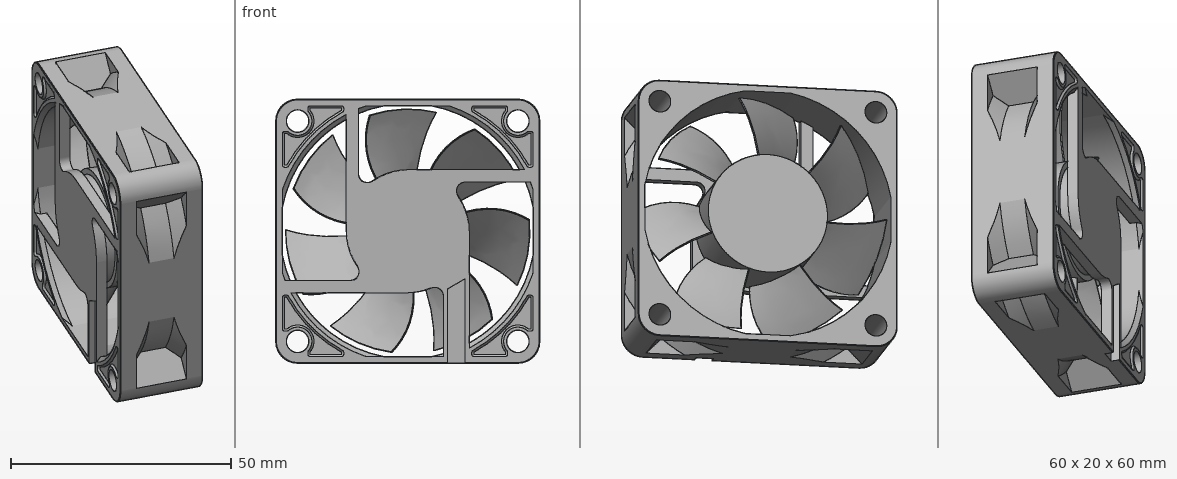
import cadquery as cq
import math

side = 60.0
half = side / 2
depth = 20.0
front = -depth / 2
back = depth / 2
corner_radius = 5.0
edge_break = 0.2

hole_offset = half - corner_radius
hole_radius = 2.5

bore_radius = 29.0
wall = 1.5
duct_half = half - wall
flare_radius = 30.0

shell_radius = 31.0
pocket_floor_half = 3.0
pocket_mouth_half = 6.0
web_width = corner_radius * math.sqrt(2)

recess_depth = 0.5
recess_bevel_margin = 0.005
recess_end = 14.5
recess_notch = 22.7
recess_boss_radius = 3.25
recess_arc_radius = 30.85
recess_rounding = 0.6

plate_radius = 14.0
plate_thickness = 2.5
arm_width = 2.8
cable_arm_width = 5.9
arm_length = 28.8
arm_fillet = 2.0
motor_base_radius = 12.5

channel_left = 9.0
channel_right = 13.0
channel_depth = 2.0
channel_top = -10.8
channel_slant = 30.0

hub_radius = 13.8
hub_gap = 5.0
hub_front = front + hub_gap
blade_count = 7
blade_root_radius = 12.6
blade_tip_radius = 27.8
blade_front = -3.95
blade_back = 9.0
blade_thickness = 0.35
blade_front_angle = 122.0
blade_twist = 39.3
front_edge_sweep = 13.7
back_edge_sweep = 5.8
sweep_power = 1.7
grid_steps = 8


def cylinder(radius, y_start, y_end):
    """Cylinder about the Y axis."""
    return cq.Workplane("XZ", origin=(0, y_start, 0)).circle(radius).extrude(y_start - y_end)


def box(x_range, y_range, z_range):
    """Box spanning the given (low, high) ranges."""
    (x0, x1), (y0, y1), (z0, z1) = x_range, y_range, z_range
    return cq.Workplane("XY").box(x1 - x0, y1 - y0, z1 - z0, centered=False).translate((x0, y0, z0))


def turn(shape, angle):
    """Turn a shape about the Y axis, counterclockwise as seen from the front."""
    return shape.rotate((0, 0, 0), (0, -1, 0), angle)


def frame_block():
    block = box((-half, half), (front, back), (-half, half))
    block = block.edges("|Y").fillet(corner_radius)
    block = block.faces("<Y or >Y").edges().chamfer(edge_break)
    holes = (
        cq.Workplane("XZ", origin=(0, front, 0))
        .rect(2 * hole_offset, 2 * hole_offset, forConstruction=True)
        .vertices()
        .circle(hole_radius)
        .extrude(-depth)
    )
    return block.cut(holes)


def air_duct():
    """Round bore with a 45-degree flare at the front, flattened on four sides."""
    flare_end = front + flare_radius - bore_radius
    passage = (
        cq.Workplane("XY")
        .polyline(
            [
                (0, front),
                (flare_radius, front),
                (bore_radius, flare_end),
                (bore_radius, back),
                (0, back),
            ]
        )
        .close()
        .revolve(360, (0, 0, 0), (0, 1, 0))
    )
    limits = box((-duct_half, duct_half), (front, back), (-duct_half, duct_half))
    return passage.intersect(limits)


def side_pockets():
    """Ring with 45-degree flanks around the duct shell, cut through by the diagonal webs."""
    mouth_radius = shell_radius + pocket_mouth_half - pocket_floor_half
    ring = (
        cq.Workplane("XY")
        .polyline(
            [
                (shell_radius, -pocket_floor_half),
                (mouth_radius, -pocket_mouth_half),
                (side, -pocket_mouth_half),
                (side, pocket_mouth_half),
                (mouth_radius, pocket_mouth_half),
                (shell_radius, pocket_floor_half),
            ]
        )
        .close()
        .revolve(360, (0, 0, 0), (0, 1, 0))
    )
    web = box((-2 * side, 2 * side), (-depth, depth), (-web_width / 2, web_width / 2))
    for angle in (45, 135):
        ring = ring.cut(turn(web, angle))
    return ring


def corner_recess():
    """Recess with 45-degree walls in the +X, +Z corner of the front face."""
    boss_reach = math.sqrt(recess_boss_radius**2 - (hole_offset - recess_notch) ** 2)
    boss_middle = hole_offset - recess_boss_radius * math.sqrt(0.5)
    arc_middle = recess_arc_radius * math.sqrt(0.5)
    arc_end = math.sqrt(recess_arc_radius**2 - recess_end**2)
    return (
        cq.Workplane("XZ", origin=(0, front, 0))
        .moveTo(recess_end, duct_half)
        .lineTo(recess_notch, duct_half)
        .lineTo(recess_notch, hole_offset + boss_reach)
        .threePointArc((boss_middle, boss_middle), (hole_offset + boss_reach, recess_notch))
        .lineTo(duct_half, recess_notch)
        .lineTo(duct_half, recess_end)
        .lineTo(arc_end, recess_end)
        .threePointArc((arc_middle, arc_middle), (recess_end, arc_end))
        .close()
        .extrude(-recess_depth)
        .edges("|Y")
        .fillet(recess_rounding)
        .faces(">Y")
        .chamfer(recess_depth - recess_bevel_margin)
    )


def motor_plate():
    """Round plate with four tangent arms, and the motor base behind it."""
    plate_back = front + plate_thickness
    plate = cylinder(plate_radius, front, plate_back)
    roots = []
    for angle, width in ((0, arm_width), (90, arm_width), (180, cable_arm_width), (270, arm_width)):
        inner = width - plate_radius
        arm = box((-plate_radius, inner), (front, plate_back), (0, arm_length))
        plate = plate.union(turn(arm, angle))
        t = math.radians(angle)
        z = math.sqrt(plate_radius**2 - inner**2)
        roots.append((inner * math.cos(t) - z * math.sin(t), inner * math.sin(t) + z * math.cos(t)))
    for x, z in roots:
        near = cq.selectors.BoxSelector((x - 0.6, front - 0.6, z - 0.6), (x + 0.6, plate_back + 0.6, z + 0.6))
        plate = plate.edges("|Y").edges(near).fillet(arm_fillet)
    return plate.union(cylinder(motor_base_radius, plate_back, hub_front))


def cable_channel():
    slant_rise = (channel_right - channel_left) * math.tan(math.radians(channel_slant))
    return (
        cq.Workplane("XZ", origin=(0, front, 0))
        .polyline(
            [
                (channel_left, -half),
                (channel_right, -half),
                (channel_right, channel_top),
                (channel_left, channel_top - slant_rise),
            ]
        )
        .close()
        .extrude(-channel_depth)
    )


def blade_point(across, along):
    """Point on the blade: across runs from front to back edge, along from root to tip."""
    radius = blade_root_radius + along * (blade_tip_radius - blade_root_radius)
    sweep = front_edge_sweep + across * (back_edge_sweep - front_edge_sweep)
    angle = math.radians(blade_front_angle - blade_twist * across - sweep * along**sweep_power)
    y = blade_front + across * (blade_back - blade_front)
    return cq.Vector(radius * math.cos(angle), y, radius * math.sin(angle))


def blade():
    steps = [i / grid_steps for i in range(grid_steps + 1)]
    sheet = cq.Face.makeSplineApprox([[blade_point(a, b) for b in steps] for a in steps], tol=0.01)
    return cq.Workplane(sheet.thicken(blade_thickness))


frame = frame_block().cut(side_pockets()).cut(air_duct())
for quarter in range(4):
    frame = frame.cut(turn(corner_recess(), 90 * quarter))
frame = frame.union(motor_plate()).cut(cable_channel())

rotor = cylinder(hub_radius, hub_front, back)
for index in range(blade_count):
    rotor = rotor.union(turn(blade(), 360 / blade_count * index))

result = cq.Compound.makeCompound([frame.val(), rotor.val()])